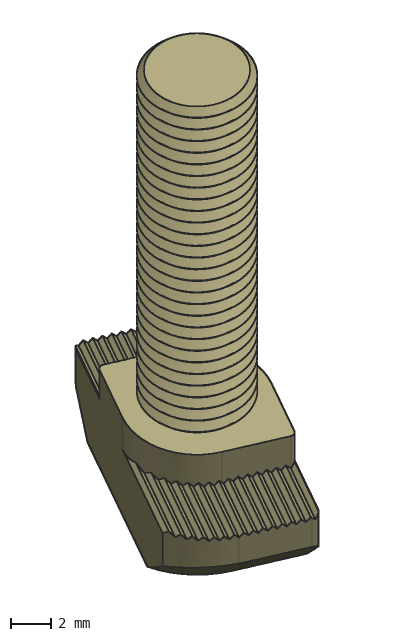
import cadquery as cq
import math

total_height = 29.4
head_length = 15.6
head_width = 7.8

stud_diameter = 6.0
root_diameter = 5.25
thread_pitch = 0.8
thread_count = 28

flange_height = 4.75
corner_radius = 0.5
swing_radius = 4.8
swing_start = 0.4
bevel_height = 2.7
bevel_run = 2.3

serration_pitch = 0.5
serration_depth = 0.25

hub_height = 6.7
hub_corner_radius = 0.3

half_length = head_length / 2
half_width = head_width / 2


def turned_about_z(shape):
    """The same shape turned half a turn about the vertical axis."""
    return shape.rotate((0, 0, 0), (0, 0, 1), 180)


def make_stud():
    """Stud with ring-shaped V threads, revolved from its half profile."""
    crest = stud_diameter / 2
    root = root_diameter / 2
    bottom = total_height - thread_count * thread_pitch
    profile = cq.Workplane("XZ").moveTo(0, bottom).lineTo(root, bottom)
    for turn in range(thread_count):
        start = bottom + turn * thread_pitch
        profile = profile.lineTo(crest, start + thread_pitch / 2)
        profile = profile.lineTo(root, start + thread_pitch)
    return profile.lineTo(0, total_height).close().revolve(360, (0, 0, 0), (0, 1, 0))


def round_square_corners(body, corner_x, corner_y, radius):
    """Round the upright edge at (-corner_x, -corner_y) and the one opposite to it."""
    for side in (-1, 1):
        corner = (side * corner_x, side * corner_y, 0)
        edge = body.edges("|Z").edges(cq.selectors.NearestToPointSelector(corner))
        body = edge.fillet(radius)
    return body


def make_flange_blank():
    """Flange plate: two opposite corners with a small radius, the other two swept by a large arc."""
    arc_centre_x = half_length - swing_radius

    def arc_x(y):
        return arc_centre_x + math.sqrt(swing_radius**2 - (y - swing_start) ** 2)

    end_x = arc_x(half_width)
    middle_y = (swing_start + half_width) / 2
    middle_x = arc_x(middle_y)
    plate = (
        cq.Workplane("XY")
        .moveTo(-half_length, -half_width)
        .lineTo(end_x, -half_width)
        .threePointArc((middle_x, -middle_y), (half_length, -swing_start))
        .lineTo(half_length, half_width)
        .lineTo(-end_x, half_width)
        .threePointArc((-middle_x, middle_y), (-half_length, swing_start))
        .close()
        .extrude(flange_height)
    )
    return round_square_corners(plate, half_length, half_width, corner_radius)


def make_bevel_envelope():
    """Shape that bevels the underside: conical at the swept corners, flat at the square ones."""
    bottom_reach = half_length - bevel_run
    top_reach = bottom_reach + flange_height * bevel_run / bevel_height
    cone = cq.Workplane(cq.Solid.makeCone(bottom_reach, top_reach, flange_height))
    flat_quarter = (
        cq.Workplane("XZ")
        .lineTo(bottom_reach, 0)
        .lineTo(top_reach, flange_height)
        .lineTo(0, flange_height)
        .close()
        .extrude(-half_width)
    )
    return cone.union(flat_quarter).union(turned_about_z(flat_quarter))


def make_serration_cutter():
    """Zigzag cutter for the -X half, counted from a groove floor that lies on the +Y face."""
    groove_count = math.ceil(head_width / serration_pitch) + 1
    groove_floor = flange_height - serration_depth
    first_tip = half_width + serration_pitch / 2
    last_tip = first_tip - groove_count * serration_pitch
    outline = cq.Workplane("YZ").moveTo(first_tip, flange_height)
    for groove in range(groove_count):
        floor_y = half_width - groove * serration_pitch
        outline = outline.lineTo(floor_y, groove_floor)
        outline = outline.lineTo(floor_y - serration_pitch / 2, flange_height)
    outline = outline.lineTo(last_tip, hub_height).lineTo(first_tip, hub_height).close()
    return outline.extrude(-half_length)


def make_hub():
    """Square hub with two opposite corners rounded to the full half width, rooted at the groove floor."""
    base = flange_height - serration_depth
    arc_middle = half_width * math.sqrt(0.5)
    block = (
        cq.Workplane("XY")
        .workplane(offset=base)
        .moveTo(-half_width, -half_width)
        .lineTo(0, -half_width)
        .threePointArc((arc_middle, -arc_middle), (half_width, 0))
        .lineTo(half_width, half_width)
        .lineTo(0, half_width)
        .threePointArc((-arc_middle, arc_middle), (-half_width, 0))
        .close()
        .extrude(hub_height - base)
    )
    return round_square_corners(block, half_width, half_width, hub_corner_radius)


def make_head():
    """T-head: bevelled flange, serrated on both wings, with the hub on top."""
    flange = make_flange_blank().intersect(make_bevel_envelope())
    cutter = make_serration_cutter()
    flange = flange.cut(cutter).cut(turned_about_z(cutter))
    return flange.union(make_hub()).solids()


stud = make_stud()
head = make_head()

result = cq.Compound.makeCompound([stud.val(), head.val()])